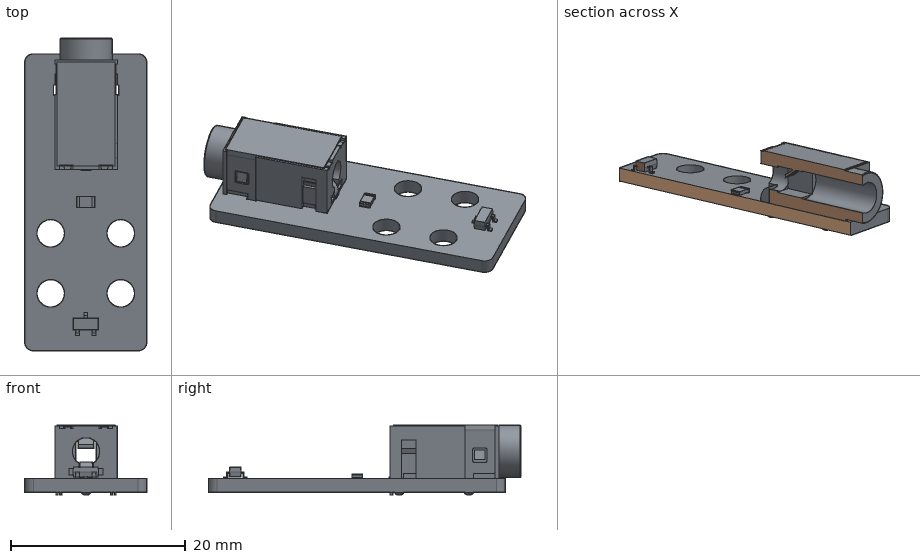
import cadquery as cq


board_width = 14.0
board_length = 34.0
board_thickness = 1.6
board_corner_radius = 1.0
mount_hole_diameter = 3.1
mount_hole_x = 4.0
mount_hole_ys = (6.6, 13.45)

jack_x = 0.05
jack_front = 20.75
jack_back = 33.3
jack_half_width = 3.58
housing_top = board_thickness + 6.0
inner_half_width = 3.22
flange_length = 0.45

barrel_diameter = 6.0
barrel_chamfer = 0.1
barrel_axis_z = 4.7
part_back = 35.8
front_bore_diameter = 3.1
plug_bore_diameter = 3.58
passage_width = 2.33
passage_front = 23.25
passage_back = 26.85

spring_half_width = 0.9
spring_front = 24.35
spring_length = 1.43
spring_bottom = 5.05
spring_lip_height = 0.43
spring_top = 6.45

cover_thickness = 0.1
cover_half_width = 3.33
cover_front = 21.2
cover_back = 33.07
cover_top = housing_top + cover_thickness
flap_half_width = 3.45
flap_front = 29.35
flap_back = jack_back - flange_length
flap_bottom = 2.2
flap_bevel_height = 0.6
leg_length = 1.0

latch_y = 31.05
latch_z = 4.25
window_size = 1.65
window_radius = 0.2
wedge_width = 1.2
wedge_top = 4.83
wedge_bottom = 3.75

side_recess_front = 22.1
side_recess_back = 23.75
side_recess_top = 6.0
side_window_bottom = 4.47
side_window_step = 5.05
side_window_depth = 0.35
foot_notch_front = 22.35
foot_notch_depth = 0.18

tip_notch_inner = 1.45
tip_notch_outer = 3.05
tip_notch_depth = 0.5
tip_notch_height = 0.32
tip_inner = 1.65
tip_outer = 2.58
tip_height = 0.18
tip_draft = 0.15

slot_half_width = 0.82
slot_depth = 1.25
slot_top = 3.58
wing_half_width = 1.95
wing_depth = 0.3
wing_bottom = 1.97
wing_top = 2.72
contact_half_width = 0.7
contact_foot_half_width = 0.57
contact_overhang = 0.1
contact_foot_top = 1.8
contact_top = 3.5

peg_diameter = 1.18
peg_rounding = 0.55
peg_ys = (21.83, 29.8)
pin_protrusion = 0.32
prong_xs = (2.9, 3.33)
prong_width = 0.25
prong_length = 0.35

leg_slot_inner = 3.15
leg_slot_outer = 3.72
leg_slot_length = 1.15

chip_y = 17.05
chip_length = 2.1
chip_width = 1.25
chip_height = 0.5
chip_coat_length = 1.43
terminal_height = 0.45
terminal_thickness = 0.07

transistor_y = 3.08
transistor_length = 2.95
transistor_width = 1.35
transistor_bottom = board_thickness + 0.18
transistor_parting = board_thickness + 0.7
transistor_top = board_thickness + 1.3
transistor_draft = 5
lead_width = 0.43
lead_thickness = 0.15
lead_knee = 1.0
lead_reach = 1.32
lead_embed = 0.15
lead_pair_x = 0.93


def block(x0, x1, y0, y1, z0, z1):
    """Axis-aligned box between two opposite corners."""
    return cq.Workplane("XY").box(x1 - x0, y1 - y0, z1 - z0, centered=False).translate((x0, y0, z0))


def both_sides(shape):
    """A jack feature together with its mirror image across the jack's middle plane."""
    return shape.union(shape.mirror("YZ"))


def cylinder_along_y(diameter, y0, y1):
    """Cylinder on the barrel axis."""
    start = cq.Workplane("XZ", origin=(0, y0, barrel_axis_z))
    return start.circle(diameter / 2).extrude(y0 - y1)



def make_pegs():
    peg_height = pin_protrusion + board_thickness
    peg_base = cq.Workplane("XY", origin=(0, 0, -pin_protrusion))
    pegs = peg_base.pushPoints([(0, y) for y in peg_ys]).circle(peg_diameter / 2).extrude(peg_height)
    return pegs.faces("<Z").fillet(peg_rounding)


def make_prongs():
    prongs = cq.Workplane("XY")
    for x in prong_xs:
        prong = block(x - prong_width / 2, x + prong_width / 2, jack_front, jack_front + prong_length,
                      -pin_protrusion, board_thickness)
        prongs = prongs.union(both_sides(prong))
    return prongs


def make_housing():
    housing = block(-jack_half_width, jack_half_width, jack_front, jack_back, board_thickness, housing_top)
    flap_seat = block(inner_half_width, jack_half_width, flap_front, flap_back, board_thickness, housing_top)
    barrel = cylinder_along_y(barrel_diameter, jack_back, part_back).faces(">Y").chamfer(barrel_chamfer)
    return housing.cut(both_sides(flap_seat)).union(barrel)


def make_passage():
    front_bore = cylinder_along_y(front_bore_diameter, jack_front, passage_front)
    plug_bore = cylinder_along_y(plug_bore_diameter, passage_back, part_back)
    half_height = front_bore_diameter / 2
    channel = block(-passage_width / 2, passage_width / 2, passage_front, passage_back,
                    barrel_axis_z - half_height, barrel_axis_z + half_height)
    return front_bore.union(channel).union(plug_bore)


def make_spring():
    spring_back = spring_front + spring_length
    lip_top = spring_bottom + spring_lip_height
    profile = [(spring_front, spring_bottom), (spring_front, lip_top), (spring_back, spring_top),
               (spring_back + spring_lip_height, spring_top)]
    start = cq.Workplane("YZ", origin=(-spring_half_width, 0, 0))
    return start.polyline(profile).close().extrude(2 * spring_half_width)


def make_cover():
    sheet = block(-cover_half_width, cover_half_width, cover_front, cover_back, housing_top, cover_top)
    flap_profile = [(inner_half_width, flap_bottom), (flap_half_width, flap_bottom),
                    (flap_half_width, cover_top - flap_bevel_height), (cover_half_width, cover_top),
                    (inner_half_width, cover_top)]
    flap_start = cq.Workplane("XZ", origin=(0, flap_back, 0))
    flap = flap_start.polyline(flap_profile).close().extrude(flap_back - flap_front)
    leg = block(inner_half_width, flap_half_width, flap_front, flap_front + leg_length, 0, flap_bottom)
    window = block(inner_half_width, flap_half_width, latch_y - window_size / 2, latch_y + window_size / 2,
                   latch_z - window_size / 2, latch_z + window_size / 2)
    window = window.edges("|X").fillet(window_radius)
    return sheet.union(both_sides(flap.union(leg).cut(window)))


def make_wedges():
    profile = [(inner_half_width, wedge_bottom), (jack_half_width, wedge_bottom), (inner_half_width, wedge_top)]
    start = cq.Workplane("XZ", origin=(0, latch_y + wedge_width / 2, 0))
    return both_sides(start.polyline(profile).close().extrude(wedge_width))


def make_side_recesses():
    recess = block(inner_half_width, jack_half_width, side_recess_front, side_recess_back,
                   board_thickness, side_recess_top)
    window_floor = inner_half_width - side_window_depth
    window_profile = [(inner_half_width, side_window_bottom), (window_floor, side_window_bottom),
                      (inner_half_width - side_window_depth / 2, side_window_step),
                      (window_floor, side_window_step), (window_floor, side_recess_top),
                      (inner_half_width, side_recess_top)]
    window_start = cq.Workplane("XZ", origin=(0, side_recess_back, 0))
    window = window_start.polyline(window_profile).close().extrude(side_recess_back - side_recess_front)
    foot_notch = block(inner_half_width - foot_notch_depth, inner_half_width,
                       foot_notch_front, side_recess_back, board_thickness, flap_bottom)
    return both_sides(recess.union(window).union(foot_notch))


def make_tip_notches():
    return both_sides(block(tip_notch_inner, tip_notch_outer, jack_front, jack_front + tip_notch_depth,
                            housing_top - tip_notch_height, housing_top))


def make_contact_tips():
    tip_back = jack_front + tip_notch_depth
    outline = [(tip_inner, tip_back), (tip_inner + tip_draft, jack_front),
               (tip_outer - tip_draft, jack_front), (tip_outer, tip_back)]
    start = cq.Workplane("XY", origin=(0, 0, housing_top - tip_notch_height))
    return both_sides(start.polyline(outline).close().extrude(tip_height))


def make_front_slot():
    slot = block(-slot_half_width, slot_half_width, jack_front, jack_front + slot_depth,
                 board_thickness, slot_top)
    wings = block(-wing_half_width, wing_half_width, jack_front, jack_front + wing_depth,
                  wing_bottom, wing_top)
    return slot.union(wings)


def make_bottom_contact():
    back = jack_front + slot_depth
    foot_front = jack_front - contact_overhang
    rounded_start = cq.Workplane("YZ", origin=(-contact_half_width, 0, 0))
    rounded = (
        rounded_start.moveTo(back, board_thickness)
        .lineTo(jack_front, board_thickness)
        .lineTo(jack_front, contact_foot_top)
        .radiusArc((back, contact_top), contact_top - contact_foot_top)
        .close()
        .extrude(2 * contact_half_width)
    )
    foot = block(-contact_foot_half_width, contact_foot_half_width, foot_front, back,
                 board_thickness, contact_foot_top)
    return rounded.union(foot)


def make_jack():
    jack = make_housing().cut(make_passage()).union(make_spring())
    jack = jack.union(make_cover()).union(make_wedges())
    jack = jack.cut(make_side_recesses())
    jack = jack.cut(make_tip_notches()).union(make_contact_tips())
    jack = jack.cut(make_front_slot()).union(make_bottom_contact())
    jack = jack.union(make_pegs()).union(make_prongs())
    return jack.translate((jack_x, 0, 0))



def make_leg_slots():
    leg_middle = flap_front + leg_length / 2
    return both_sides(block(leg_slot_inner, leg_slot_outer, leg_middle - leg_slot_length / 2,
                            leg_middle + leg_slot_length / 2, 0, board_thickness))


def make_board():
    board = block(-board_width / 2, board_width / 2, 0, board_length, 0, board_thickness)
    board = board.edges("|Z").fillet(board_corner_radius)
    hole_centres = [(side * mount_hole_x, y) for side in (-1, 1) for y in mount_hole_ys]
    mount_holes = cq.Workplane("XY").pushPoints(hole_centres).circle(mount_hole_diameter / 2)
    peg_holes = cq.Workplane("XY").pushPoints([(0, y) for y in peg_ys]).circle(peg_diameter / 2)
    jack_openings = peg_holes.extrude(board_thickness).union(make_prongs()).union(make_leg_slots())
    board = board.cut(mount_holes.extrude(board_thickness))
    return board.cut(jack_openings.translate((jack_x, 0, 0)))



def make_terminal(side):
    inner_x = chip_coat_length / 2
    outer_x = chip_length / 2
    top = board_thickness + terminal_height
    terminal = block(inner_x, outer_x, -chip_width / 2, chip_width / 2, board_thickness, top)
    core = block(inner_x, outer_x - terminal_thickness, -chip_width / 2, chip_width / 2,
                 board_thickness + terminal_thickness, top - terminal_thickness)
    terminal = terminal.cut(core)
    if side < 0:
        terminal = terminal.mirror("YZ")
    return terminal.translate((0, chip_y, 0))


def make_chip_body(terminals):
    body = block(-chip_length / 2, chip_length / 2, chip_y - chip_width / 2, chip_y + chip_width / 2,
                 board_thickness + terminal_thickness, board_thickness + terminal_height)
    coat = block(-chip_coat_length / 2, chip_coat_length / 2, chip_y - chip_width / 2,
                 chip_y + chip_width / 2, board_thickness + terminal_thickness, board_thickness + chip_height)
    body = body.union(coat)
    for terminal in terminals:
        body = body.cut(terminal)
    return body



def make_lead(x, side):
    """Lead at the given X, leaving the body toward +Y (side = 1) or -Y (side = -1)."""
    root = transistor_width / 2 - lead_embed
    inner_knee = lead_knee - lead_thickness
    foot_top = board_thickness + lead_thickness
    shoulder = transistor_parting - lead_thickness
    profile = [(root, shoulder), (root, transistor_parting), (lead_knee, transistor_parting),
               (lead_knee, foot_top), (lead_reach, foot_top), (lead_reach, board_thickness),
               (inner_knee, board_thickness), (inner_knee, shoulder)]
    lead = cq.Workplane("YZ", origin=(-lead_width / 2, 0, 0)).polyline(profile).close().extrude(lead_width)
    if side < 0:
        lead = lead.mirror("XZ")
    return lead.translate((x, transistor_y, 0))


def tapered_half(height):
    """Half of the moulded body, standing on its parting plane at Z = 0 and narrowing upward."""
    outline = cq.Workplane("XY").rect(transistor_length, transistor_width)
    return outline.extrude(height, taper=transistor_draft)


def make_transistor_body(leads):
    upper = tapered_half(transistor_top - transistor_parting)
    lower = tapered_half(transistor_parting - transistor_bottom).mirror("XY")
    body = upper.union(lower).translate((0, transistor_y, transistor_parting))
    for lead in leads:
        body = body.cut(lead)
    return body


board = make_board()
jack = make_jack()
terminals = [make_terminal(side) for side in (-1, 1)]
chip_body = make_chip_body(terminals)
leads = [make_lead(x, side) for x, side in ((-lead_pair_x, -1), (lead_pair_x, -1), (0, 1))]
transistor_body = make_transistor_body(leads)

bodies = [board, jack, chip_body, *terminals, transistor_body, *leads]
result = cq.Compound.makeCompound([body.val() for body in bodies])